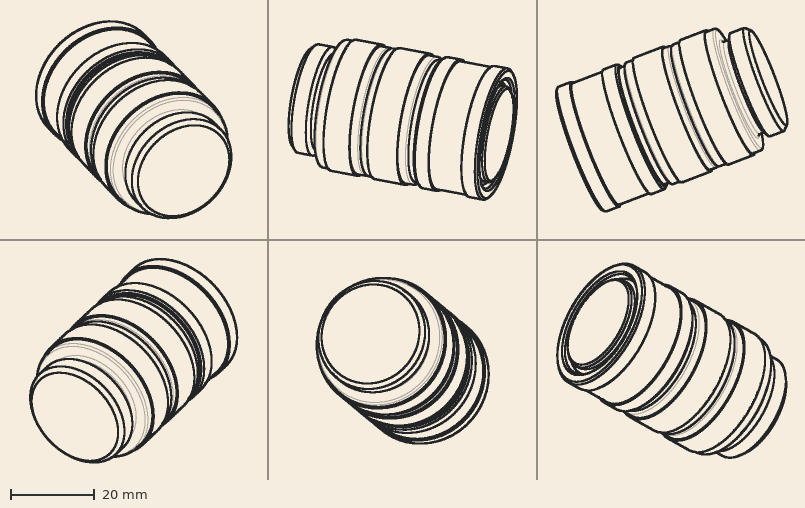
import cadquery as cq
import math


total_length = 49.0
band_radius = 32.0 / 2
recess_radius = 31.2 / 2
edge_round = 0.5

nose_radius = 23.4 / 2
nose_chamfer = 0.5
wire_radius = 1.0
ring_x = 2.5
ring_gap_angle = 5.0
ring_gap_direction = 125.5

sleeve_front = 0.47
sleeve_rear = 16.5
sleeve_bore_radius = 23.6 / 2
sleeve_chamfer = 0.5
ring_pocket_radius = 26.5 / 2
pocket_floor_x = ring_x + wire_radius
front_band_end = 4.3
front_band_taper = 0.2
rear_band_start = 12.6

shoulder_radius = 29.9 / 2
body_front = 18.0
body_rear = 30.0
body_band_start = 20.5
body_band_end = 28.0

adapter_rear = 41.5
adapter_band_start = 32.5
adapter_band_end = 39.0
neck_radius = 23.7 / 2
neck_fillet = 0.75
knob_radius = 26.5 / 2
knob_start = 44.3
knob_chamfer = 1.1
flare_angle = 60.0
flare_length = (knob_radius - neck_radius) / math.tan(math.radians(flare_angle))

round_mid = edge_round * (1 - math.sqrt(0.5))


def revolve(profile):
    """Turn a closed (x, radius) profile about the X axis."""
    return profile.close().revolve(360, (0, 0, 0), (1, 0, 0))


def round_up(profile, x):
    """Rounded corner from a face at x up to the recess surface."""
    return profile.lineTo(x, recess_radius - edge_round).threePointArc(
        (x + round_mid, recess_radius - round_mid), (x + edge_round, recess_radius)
    )


def round_down(profile, x):
    """Rounded corner from the recess surface down to a face at x."""
    return profile.lineTo(x - edge_round, recess_radius).threePointArc(
        (x - round_mid, recess_radius - round_mid), (x, recess_radius - edge_round)
    )


def band(profile, start, end):
    """Raised band on the recess surface."""
    return (
        profile.lineTo(start, recess_radius)
        .lineTo(start, band_radius)
        .lineTo(end, band_radius)
        .lineTo(end, recess_radius)
    )


def make_wire_torus():
    """Full torus of the snap ring wire."""
    return (
        cq.Workplane("XY")
        .center(ring_x, nose_radius)
        .circle(wire_radius)
        .revolve(360, (0, -nose_radius, 0), (1, -nose_radius, 0))
    )


def make_sleeve():
    """Sliding sleeve with two bands and a front pocket for the ring."""
    profile = (
        cq.Workplane("XY")
        .moveTo(pocket_floor_x, sleeve_bore_radius)
        .lineTo(pocket_floor_x, ring_pocket_radius)
        .lineTo(sleeve_front + sleeve_chamfer, ring_pocket_radius)
        .lineTo(sleeve_front, ring_pocket_radius + sleeve_chamfer)
        .lineTo(sleeve_front, band_radius - sleeve_chamfer)
        .lineTo(sleeve_front + sleeve_chamfer, band_radius)
        .lineTo(front_band_end, band_radius)
        .lineTo(front_band_end + front_band_taper, recess_radius)
        .lineTo(rear_band_start, recess_radius)
        .lineTo(rear_band_start, band_radius)
        .lineTo(sleeve_rear - sleeve_chamfer, band_radius)
        .lineTo(sleeve_rear, band_radius - sleeve_chamfer)
        .lineTo(sleeve_rear, sleeve_bore_radius)
    )
    return revolve(profile)


def make_body():
    """Body with a banded rear, a shoulder and a nose grooved for the ring."""
    profile = (
        cq.Workplane("XY")
        .moveTo(0, 0)
        .lineTo(0, nose_radius - nose_chamfer)
        .lineTo(nose_chamfer, nose_radius)
        .lineTo(sleeve_rear, nose_radius)
        .lineTo(sleeve_rear, shoulder_radius)
        .lineTo(body_front, shoulder_radius)
    )
    profile = round_up(profile, body_front)
    profile = band(profile, body_band_start, body_band_end)
    profile = round_down(profile, body_rear).lineTo(body_rear, 0)
    return revolve(profile).cut(make_wire_torus())


def make_adapter():
    """Rear adapter: banded front, filleted neck and chamfered knob."""
    profile = cq.Workplane("XY").moveTo(body_rear, 0)
    profile = round_up(profile, body_rear)
    profile = band(profile, adapter_band_start, adapter_band_end)
    fillet_mid = neck_fillet * (1 - math.sqrt(0.5))
    profile = (
        round_down(profile, adapter_rear)
        .lineTo(adapter_rear, neck_radius + neck_fillet)
        .threePointArc(
            (adapter_rear + fillet_mid, neck_radius + fillet_mid),
            (adapter_rear + neck_fillet, neck_radius),
        )
        .lineTo(knob_start - flare_length, neck_radius)
        .lineTo(knob_start, knob_radius)
        .lineTo(total_length - knob_chamfer, knob_radius)
        .lineTo(total_length, knob_radius - knob_chamfer)
        .lineTo(total_length, 0)
    )
    return revolve(profile)


def make_snap_ring():
    """Round-wire ring, swept all the way round except for its gap."""
    ring = (
        cq.Workplane("XY")
        .center(ring_x, nose_radius)
        .circle(wire_radius)
        .revolve(360 - ring_gap_angle, (0, -nose_radius, 0), (1, -nose_radius, 0))
    )
    return ring.rotate((0, 0, 0), (1, 0, 0), ring_gap_direction + ring_gap_angle / 2)


sleeve = make_sleeve()
body = make_body()
adapter = make_adapter()
snap_ring = make_snap_ring()

result = cq.Compound.makeCompound([sleeve.val(), body.val(), adapter.val(), snap_ring.val()])